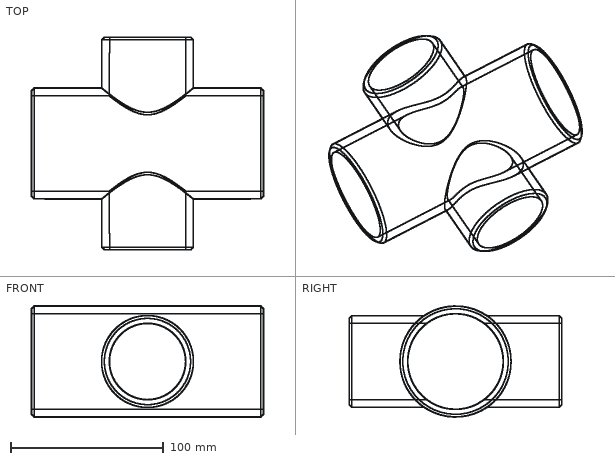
import cadquery as cq

run_length = 152.4
run_outer_diameter = 73.0
run_bore_diameter = 62.6

branch_length = 139.8
branch_outer_diameter = 60.4
branch_bore_diameter = 50.0

end_chamfer = 1.8


def centred_cylinder(plane, diameter, length):
    """Solid cylinder centred on the origin, along the normal of the plane."""
    return cq.Workplane(plane).circle(diameter / 2).extrude(length / 2, both=True)


def bevelled_cylinder(plane, diameter, length):
    """Centred cylinder with both end rims chamfered."""
    return centred_cylinder(plane, diameter, length).edges("%CIRCLE").chamfer(end_chamfer)


run_body = bevelled_cylinder("YZ", run_outer_diameter, run_length)
branch_body = bevelled_cylinder("XZ", branch_outer_diameter, branch_length)
run_bore = centred_cylinder("YZ", run_bore_diameter, run_length)
branch_bore = centred_cylinder("XZ", branch_bore_diameter, branch_length)

result = run_body.union(branch_body).cut(run_bore).cut(branch_bore)